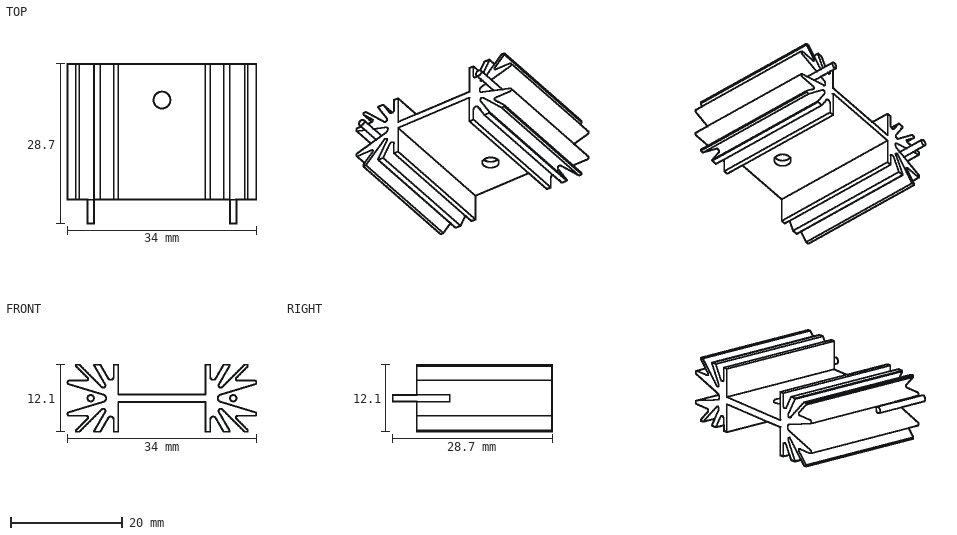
import cadquery as cq
import math

overall_width = 34.0
overall_height = 12.1
sink_length = 24.4
half_width = overall_width / 2
half_height = overall_height / 2

web_thickness = 1.35
hole_diameter = 3.0
hole_from_back = 6.5

wall_inner_x = 7.82
wall_thickness = 0.9
wall_outer_x = wall_inner_x + wall_thickness

steep_fin_lean = math.radians(30)
steep_fin_inner_x = 11.1
steep_fin_outer_x = 12.3
steep_tip_chamfer = 0.15

diagonal_fin_inner_x = 14.85
diagonal_tip_x = 15.47
diagonal_tip_height = 0.3

flat_fin_top_z = 3.2
flat_fin_slope = math.radians(16.8)
center_slot_apex_x = 8.45

wall_slot_radius = 0.5
steep_slot_radius = 0.37
diagonal_slot_radius = 0.27
center_slot_radius = 0.65
flat_tip_radius = 0.35

pin_diameter = 1.2
pin_length = 10.27
pin_protrusion = 4.3
pin_x = 12.82

lean_ratio = math.tan(steep_fin_lean)
wall_slot_corner = (
    wall_outer_x,
    half_height - (steep_fin_inner_x - wall_outer_x) / lean_ratio,
)
steep_slot_depth = (diagonal_fin_inner_x - steep_fin_outer_x) / (1 - lean_ratio)
steep_slot_corner = (
    diagonal_fin_inner_x - steep_slot_depth,
    half_height - steep_slot_depth,
)
diagonal_tip_low_z = half_height - diagonal_tip_height
diagonal_slot_corner = (
    diagonal_tip_x - (diagonal_tip_low_z - flat_fin_top_z),
    flat_fin_top_z,
)
center_slot_corner = (center_slot_apex_x, 0)
flat_tip_upper = (half_width, flat_fin_top_z)
flat_tip_lower = (half_width, (half_width - center_slot_apex_x) * math.tan(flat_fin_slope))


def upper_outline():
    """Upper half of the fin cluster on the +X side, with sharp corners."""
    return [
        (wall_inner_x, 0),
        (wall_inner_x, half_height),
        (wall_outer_x, half_height),
        wall_slot_corner,
        (steep_fin_inner_x, half_height),
        (steep_fin_outer_x - steep_tip_chamfer, half_height),
        (steep_fin_outer_x - steep_tip_chamfer * lean_ratio, half_height - steep_tip_chamfer),
        steep_slot_corner,
        (diagonal_fin_inner_x, half_height),
        (diagonal_tip_x, half_height),
        (diagonal_tip_x, diagonal_tip_low_z),
        diagonal_slot_corner,
        flat_tip_upper,
        flat_tip_lower,
        center_slot_corner,
    ]


def make_fin_cluster():
    """Wall and fins on the +X side, symmetric about the XY plane."""
    upper_points = upper_outline()
    lower_points = [(x, -z) for x, z in reversed(upper_points[1:-1])]
    cluster = cq.Workplane("XZ").polyline(upper_points + lower_points).close().extrude(-sink_length)
    mirrored_corners = [
        (wall_slot_corner, wall_slot_radius),
        (steep_slot_corner, steep_slot_radius),
        (diagonal_slot_corner, diagonal_slot_radius),
        (flat_tip_upper, flat_tip_radius),
        (flat_tip_lower, flat_tip_radius),
    ]
    rounded_corners = [(center_slot_corner, center_slot_radius)]
    for (x, z), radius in mirrored_corners:
        rounded_corners.append(((x, z), radius))
        rounded_corners.append(((x, -z), radius))
    for (x, z), radius in rounded_corners:
        corner_edge = cq.selectors.NearestToPointSelector((x, sink_length / 2, z))
        cluster = cluster.edges("|Y").edges(corner_edge).fillet(radius)
    return cluster


def make_heat_sink():
    """One extrusion: a drilled web between two fin clusters."""
    web = cq.Workplane("XY").box(
        2 * wall_inner_x, sink_length, web_thickness, centered=(True, False, True)
    )
    hole = (
        cq.Workplane("XY")
        .center(0, sink_length - hole_from_back)
        .circle(hole_diameter / 2)
        .extrude(web_thickness, both=True)
    )
    right_cluster = make_fin_cluster()
    left_cluster = right_cluster.mirror("YZ")
    return web.cut(hole).union(right_cluster).union(left_cluster)


def make_pin(x):
    """Round pin along Y, projecting in front of the heat sink."""
    return (
        cq.Workplane("XZ", origin=(x, -pin_protrusion, 0))
        .circle(pin_diameter / 2)
        .extrude(-pin_length)
    )


heat_sink = make_heat_sink()
pins = [make_pin(side * pin_x) for side in (-1, 1)]

result = cq.Compound.makeCompound([heat_sink.val(), *[pin.val() for pin in pins]])